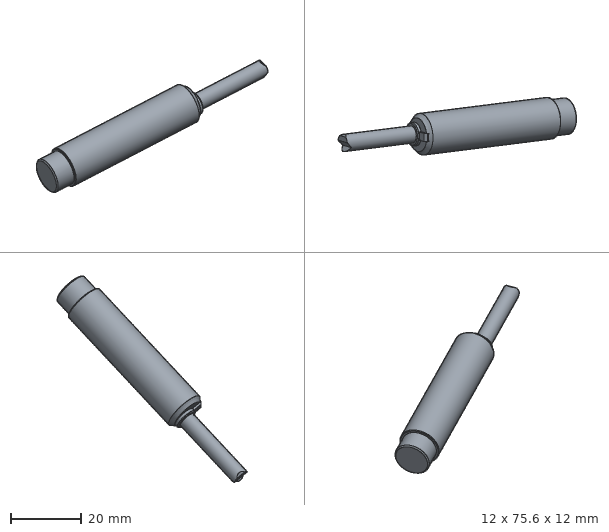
import cadquery as cq

total_length = 75.6
sensing_cap_length = 6.0
barrel_end = 49.6
end_cap_base = 50.3
end_cap_top = 50.95
indicator_top = 51.6
collar_top = 52.2

barrel_diameter = 12.0
barrel_front_chamfer = 0.2
sensing_cap_diameter = 10.5
sensing_cap_chamfer = 0.4
end_cap_base_diameter = 10.7
end_cap_top_diameter = 9.75
collar_diameter = 6.8
collar_chamfer = 0.3
cable_diameter = 5.0
cable_offset = 1.3
root_depth = 3.8

indicator_width = 2.4
indicator_outer_reach = 5.15
indicator_slope = indicator_top - end_cap_top

side_notch_depth = 1.5
side_notch_width = 3.2
side_notch_height = -1.1
top_bevel_length = 0.75
top_bevel_drop = 0.5


def make_barrel():
    """Stepped barrel, turned about the Y axis, with a cone on each shoulder."""
    barrel_radius = barrel_diameter / 2
    cap_radius = sensing_cap_diameter / 2
    profile = [
        (0, 0),
        (cap_radius - sensing_cap_chamfer, 0),
        (cap_radius, sensing_cap_chamfer),
        (cap_radius, sensing_cap_length),
        (barrel_radius - barrel_front_chamfer, sensing_cap_length),
        (barrel_radius, sensing_cap_length + barrel_front_chamfer),
        (barrel_radius, barrel_end),
        (end_cap_base_diameter / 2, end_cap_base),
        (end_cap_top_diameter / 2, end_cap_top),
        (0, end_cap_top),
    ]
    return cq.Workplane("XY").polyline(profile).close().revolve(360, (0, 0), (0, 1))


def cable_cylinder(diameter, end):
    """Cylinder on the cable axis, rooted inside the barrel and ending at the given Y."""
    root = barrel_end - root_depth
    plane = cq.Workplane("XZ", origin=(cable_offset, root, 0))
    return plane.circle(diameter / 2).extrude(root - end)


def make_collar():
    return cable_cylinder(collar_diameter, collar_top).faces(">Y").chamfer(collar_chamfer)


def make_indicator():
    """Window block whose outer end slopes back at 45 degrees."""
    return (
        cq.Workplane("XY")
        .moveTo(-indicator_outer_reach, end_cap_base)
        .lineTo(-indicator_outer_reach, end_cap_top)
        .lineTo(-indicator_outer_reach + indicator_slope, indicator_top)
        .lineTo(0, indicator_top)
        .lineTo(0, end_cap_base)
        .close()
        .extrude(indicator_width / 2, both=True)
    )


def make_side_notch():
    """V groove across the cable end, running along X."""
    return (
        cq.Workplane("YZ", origin=(cable_offset, total_length, side_notch_height))
        .moveTo(0, -side_notch_width / 2)
        .lineTo(-side_notch_depth, 0)
        .lineTo(0, side_notch_width / 2)
        .close()
        .extrude(cable_diameter, both=True)
    )


def make_top_bevel():
    """Wedge that slopes off the upper rim of the cable end."""
    rim = cable_diameter / 2
    return (
        cq.Workplane("YZ", origin=(cable_offset, total_length, rim))
        .moveTo(0, 0)
        .lineTo(-top_bevel_length, 0)
        .lineTo(0, -top_bevel_drop)
        .close()
        .extrude(cable_diameter, both=True)
    )


cable = cable_cylinder(cable_diameter, total_length).cut(make_side_notch()).cut(make_top_bevel())
result = make_barrel().union(make_collar()).union(make_indicator()).union(cable)